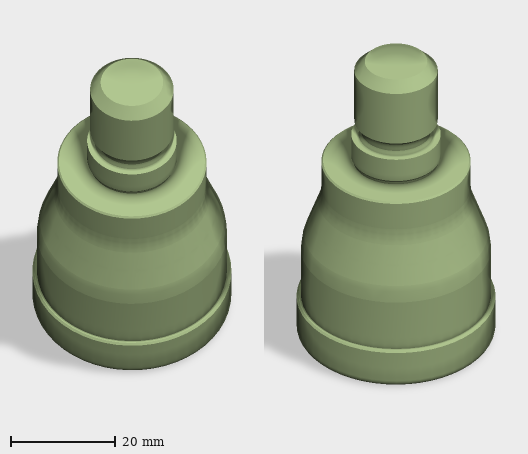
import cadquery as cq

lip_edge_z = 1.6
lip_top_z = 8.5
barrel_top_z = 19.35
cone_bottom_z = 22.8
cone_top_z = 30.4
collar_bottom_z = 33.75
housing_top_z = 40.0

lip_radius = 19.06
barrel_radius = 18.2
cone_bottom_radius = 17.61
cone_top_radius = 14.85
collar_radius = 14.3
lip_chamfer = 0.4
collar_chamfer = 0.3

seat_top_z = 40.5
flange_edge_z = 41.0
flange_top_z = 46.0
neck_bottom_z = 46.75
neck_top_z = 48.2
shank_bottom_z = 49.4
stud_top_z = 63.0

seat_radius = 8.2
flange_radius = 8.55
neck_radius = 6.7
neck_foot_radius = 7.2
shank_radius = 8.0
tip_chamfer = 2.0


def revolve_profile(profile):
    """Close a half profile of (radius, height) points and turn it about Z."""
    return profile.close().revolve(360, (0, 0, 0), (0, 1, 0))


def make_housing():
    """Lipped barrel that blends through a cone into a narrower collar."""
    profile = (
        cq.Workplane("XZ")
        .lineTo(lip_radius - lip_edge_z, 0)
        .radiusArc((lip_radius, lip_edge_z), -lip_edge_z)
        .lineTo(lip_radius, lip_top_z - lip_chamfer)
        .lineTo(lip_radius - lip_chamfer, lip_top_z)
        .lineTo(barrel_radius, lip_top_z)
        .lineTo(barrel_radius, barrel_top_z)
        .tangentArcPoint((cone_bottom_radius, cone_bottom_z), relative=False)
        .lineTo(cone_top_radius, cone_top_z)
        .tangentArcPoint((collar_radius, collar_bottom_z), relative=False)
        .lineTo(collar_radius, housing_top_z - collar_chamfer)
        .lineTo(collar_radius - collar_chamfer, housing_top_z)
        .lineTo(0, housing_top_z)
    )
    return revolve_profile(profile)


def make_stud():
    """Flanged stud with an undercut neck, standing on the housing top."""
    profile = (
        cq.Workplane("XZ")
        .moveTo(0, housing_top_z)
        .lineTo(seat_radius, housing_top_z)
        .lineTo(seat_radius, seat_top_z)
        .lineTo(flange_radius, flange_edge_z)
        .lineTo(flange_radius, flange_top_z)
        .lineTo(neck_foot_radius, flange_top_z)
        .lineTo(neck_radius, neck_bottom_z)
        .lineTo(neck_radius, neck_top_z)
        .lineTo(shank_radius, shank_bottom_z)
        .lineTo(shank_radius, stud_top_z - tip_chamfer)
        .lineTo(shank_radius - tip_chamfer, stud_top_z)
        .lineTo(0, stud_top_z)
    )
    return revolve_profile(profile)


housing = make_housing()
stud = make_stud()

result = cq.Compound.makeCompound([housing.val(), stud.val()])